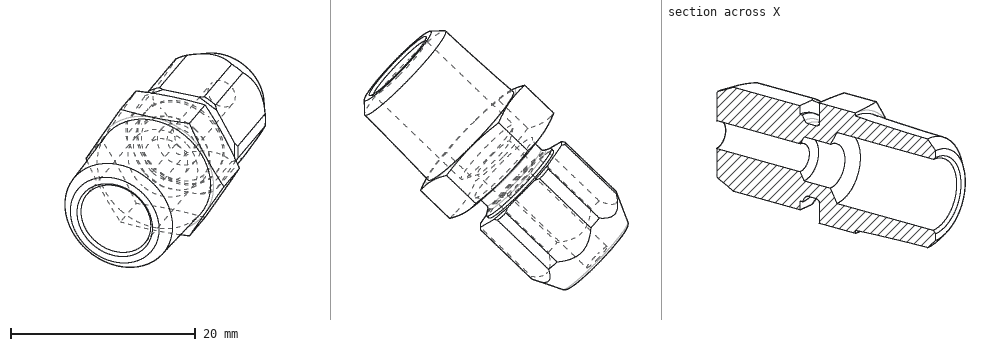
import cadquery as cq
import math

length = 30.1
body_hex_start = 11.02
body_hex_end = 16.0
collar_start = 18.3
nut_start = 18.63
nut_cone_start = 26.65

thread_base_radius = 6.65
thread_tip_radius = 6.32
thread_chamfer_length = 1.1
thread_end_radius = 5.2

body_hex_flats = 14.0
body_hex_chamfer_angle = 15.0

neck_radius = 4.25
neck_fillet = 0.5
neck_fillet_turn = 60.0
collar_radius = 5.05

nut_flats = 12.1
nut_corner_radius = 6.6
nut_cone_angle = 25.0
nut_end_fillet = 0.48
nut_bevel_distance = 6.3
nut_bevel_angle = 45.0

bore_radius = 4.1
bore_depth = 13.55
mouth_chamfer = 0.33
drill_point_half_angle = 60.0
pilot_radius = 2.53
pilot_depth = 18.05
passage_radius = 1.6


def revolve_profile(profile):
    """Turn an (r, y) half profile about the Y axis."""
    return profile.close().revolve(360, (0, 0, 0), (0, 1, 0))


def hexagon(flats, start, end):
    """Hexagonal bar along Y with corners on the X axis."""
    across_corners = flats / math.cos(math.radians(30))
    return (
        cq.Workplane("XZ", origin=(0, start, 0))
        .polygon(6, across_corners)
        .extrude(start - end)
    )


def make_thread():
    return revolve_profile(
        cq.Workplane("XY")
        .lineTo(thread_end_radius, 0)
        .lineTo(thread_tip_radius, thread_chamfer_length)
        .lineTo(thread_base_radius, body_hex_start)
        .lineTo(0, body_hex_start)
    )


def make_body_hex():
    """Hexagon with its corners chamfered conically at both ends."""
    face_radius = body_hex_flats / 2
    corner_radius = face_radius / math.cos(math.radians(30))
    chamfer = (corner_radius - face_radius) * math.tan(math.radians(body_hex_chamfer_angle))
    envelope = revolve_profile(
        cq.Workplane("XY")
        .moveTo(0, body_hex_start)
        .lineTo(face_radius, body_hex_start)
        .lineTo(corner_radius, body_hex_start + chamfer)
        .lineTo(corner_radius, body_hex_end - chamfer)
        .lineTo(face_radius, body_hex_end)
        .lineTo(0, body_hex_end)
    )
    return hexagon(body_hex_flats, body_hex_start, body_hex_end).intersect(envelope)


def make_neck():
    """Round neck, filleted at both ends, widening conically to the collar."""
    turn = math.radians(neck_fillet_turn)
    fillet_height = neck_fillet * math.sin(turn)
    mid_height = neck_fillet * math.sin(turn / 2)
    foot_radius = neck_radius + neck_fillet * (1 - math.cos(turn))
    mid_radius = neck_radius + neck_fillet * (1 - math.cos(turn / 2))
    cone_start = collar_start - (collar_radius - foot_radius) / math.tan(turn)
    lower_tangent = body_hex_end + fillet_height
    upper_tangent = cone_start - fillet_height
    return revolve_profile(
        cq.Workplane("XY")
        .moveTo(0, body_hex_end)
        .lineTo(foot_radius, body_hex_end)
        .threePointArc((mid_radius, lower_tangent - mid_height), (neck_radius, lower_tangent))
        .lineTo(neck_radius, upper_tangent)
        .threePointArc((mid_radius, upper_tangent + mid_height), (foot_radius, cone_start))
        .lineTo(collar_radius, collar_start)
        .lineTo(collar_radius, nut_start)
        .lineTo(0, nut_start)
    )


def make_nut():
    """Hexagonal nut with rounded corners, a conical end and bevelled inner corners."""
    cone_drop = (length - nut_cone_start) * math.tan(math.radians(nut_cone_angle))
    envelope = revolve_profile(
        cq.Workplane("XY")
        .moveTo(0, nut_start)
        .lineTo(nut_corner_radius, nut_start)
        .lineTo(nut_corner_radius, nut_cone_start)
        .lineTo(nut_corner_radius - cone_drop, length)
        .lineTo(0, length)
    )
    envelope = envelope.faces(">Y").edges().fillet(nut_end_fillet)
    nut = hexagon(nut_flats, nut_start, length).intersect(envelope)

    apex_distance = nut_flats / 2 / math.cos(math.radians(30))
    bevel_width = apex_distance - nut_bevel_distance
    bevel_height = bevel_width / math.tan(math.radians(nut_bevel_angle))
    bevel = (
        cq.Workplane("XY")
        .moveTo(nut_bevel_distance, nut_start)
        .lineTo(apex_distance, nut_start)
        .lineTo(apex_distance, nut_start + bevel_height)
        .close()
        .extrude(nut_flats / 2, both=True)
    )
    for corner in range(6):
        nut = nut.cut(bevel.rotate((0, 0, 0), (0, 1, 0), 60 * corner))
    return nut


def make_bore():
    """Chamfered main bore, narrower pilot bore and through passage, joined by drill-point cones."""
    cone_slope = math.tan(math.radians(drill_point_half_angle))
    bore_tip = bore_depth + (bore_radius - pilot_radius) / cone_slope
    pilot_tip = pilot_depth + (pilot_radius - passage_radius) / cone_slope
    return revolve_profile(
        cq.Workplane("XY")
        .lineTo(bore_radius + mouth_chamfer, 0)
        .lineTo(bore_radius, mouth_chamfer)
        .lineTo(bore_radius, bore_depth)
        .lineTo(pilot_radius, bore_tip)
        .lineTo(pilot_radius, pilot_depth)
        .lineTo(passage_radius, pilot_tip)
        .lineTo(passage_radius, length)
        .lineTo(0, length)
    )


result = (
    make_thread()
    .union(make_body_hex())
    .union(make_neck())
    .union(make_nut())
    .cut(make_bore())
)